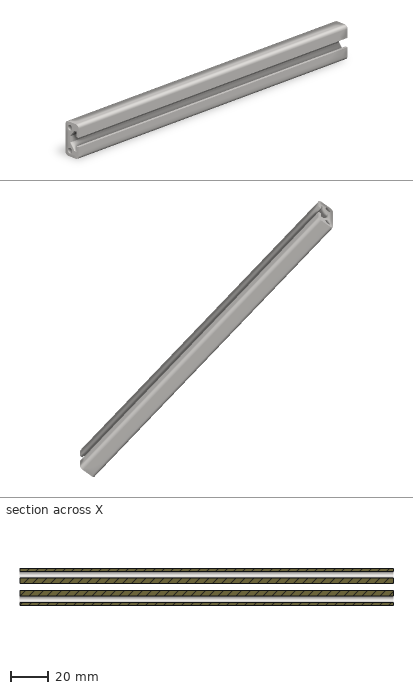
import cadquery as cq

width = 10.0
length = 200.0
height = 20.0
corner_radius = 2.0

channel_diameter = 3.2
channel_x = -1.5
channel_z = 6.5

lip_thickness = 1.5
mouth_width = 5.5
cavity_width = 11.5
cavity_roof_length = 1.5
floor_width = 3.5
floor_wall = 3.5

profile_plane = cq.Workplane("XZ", origin=(0, -length / 2, 0))


def make_bar():
    """Rectangular bar with rounded long edges."""
    bar = profile_plane.rect(width, height).extrude(-length)
    return bar.edges("|Y").fillet(corner_radius)


def make_slot():
    """Slot with a narrow mouth, undercut lips and a tapered floor."""
    outer_x = width / 2
    lip_x = outer_x - lip_thickness
    roof_x = lip_x - cavity_roof_length
    floor_x = floor_wall - width / 2
    upper_half = [
        (outer_x, mouth_width / 2),
        (lip_x, mouth_width / 2),
        (lip_x, cavity_width / 2),
        (roof_x, cavity_width / 2),
        (floor_x, floor_width / 2),
    ]
    lower_half = [(x, -z) for x, z in reversed(upper_half)]
    return profile_plane.polyline(upper_half + lower_half).close().extrude(-length)


def make_channels():
    """Pair of round channels, one above and one below the slot."""
    centers = [(channel_x, channel_z), (channel_x, -channel_z)]
    return profile_plane.pushPoints(centers).circle(channel_diameter / 2).extrude(-length)


result = make_bar().cut(make_slot()).cut(make_channels())